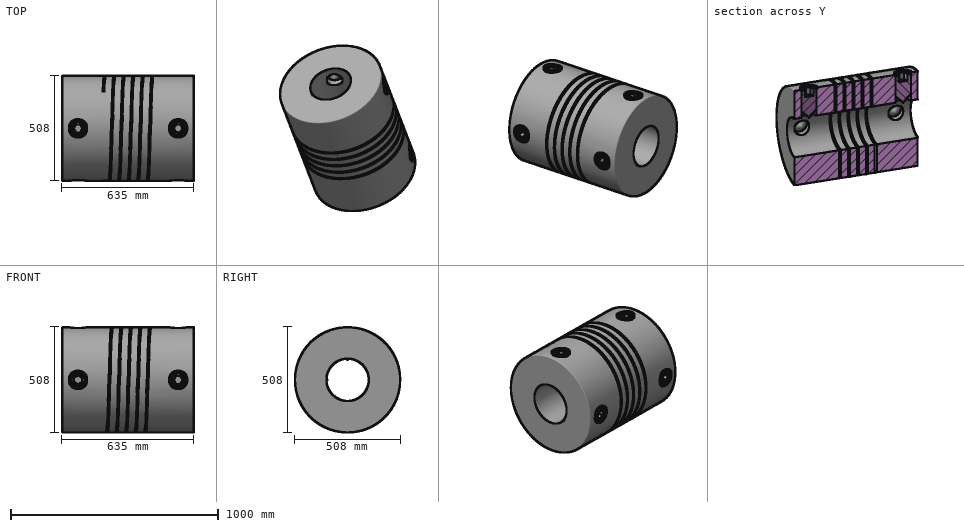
import cadquery as cq
import math


body_length = 635.0
body_diameter = 508.0
bore_diameter = 203.2
edge_fillet = 5.08

body_radius = body_diameter / 2
bore_radius = bore_diameter / 2

slot_width = 8.5
slot_pitch = 46.0
slot_start_x = -118.5
slot_start_angle = 45.0
slot_end_angle = 8.8
slot_whole_turns = 5
slot_overrun = 10.0

slot_turns = slot_whole_turns + (slot_start_angle - slot_end_angle) / 360

screw_diameter = 76.2
screw_end_inset = 76.2
screw_recess = 3.81
screw_chamfer = 7.0
point_protrusion = 5.0
socket_sides = 6
socket_width = 38.1
socket_depth = 38.1
hole_chamfer = 6.35
hole_overrun = 10.0

screw_radius = screw_diameter / 2
screw_tip_height = bore_radius - point_protrusion
screw_head_height = body_radius - screw_recess
screw_x = body_length / 2 - screw_end_inset
socket_corner_diameter = socket_width / math.cos(math.pi / socket_sides)

FACING_UP = 0
FACING_FRONT = 90
screw_places = [
    (-screw_x, FACING_UP, 0),
    (screw_x, FACING_UP, -7),
    (-screw_x, FACING_FRONT, 25),
    (screw_x, FACING_FRONT, 0),
]


def place_screw_shape(shape, x, facing):
    """Move a shape built around +Z to a screw position on the body."""
    return shape.rotate((0, 0, 0), (1, 0, 0), facing).translate((x, 0, 0))


def make_helical_slot():
    """Swept cutter of the slot: a radial strip carried along a helix."""
    inner_radius = bore_radius - slot_overrun
    outer_radius = body_radius + slot_overrun
    helix = cq.Wire.makeHelix(slot_pitch, slot_pitch * slot_turns, body_radius, lefthand=True)
    strip = (
        cq.Workplane("XZ")
        .center((inner_radius + outer_radius) / 2, 0)
        .rect(outer_radius - inner_radius, slot_width)
    )
    cutter = strip.sweep(cq.Workplane(obj=helix), isFrenet=True)
    cutter = cutter.rotate((0, 0, 0), (0, 1, 0), 90)
    cutter = cutter.rotate((0, 0, 0), (1, 0, 0), slot_start_angle + 90)
    return cutter.translate((slot_start_x, 0, 0))


def make_screw_hole():
    """Cutter of one plain screw hole, from the axis of the body out through its top."""
    return cq.Workplane("XY").circle(screw_radius).extrude(body_radius + hole_overrun)


def chamfer_hole_mouths(body):
    """Break the edges where the screw holes come out of the round outside of the body."""
    for x, facing, _ in screw_places:
        outward = cq.Vector(0, 0, 1) if facing == FACING_UP else cq.Vector(0, -1, 0)
        mouth_point = cq.Vector(x, 0, 0) + outward * body_radius
        mouth = cq.selectors.NearestToPointSelector(mouth_point.toTuple())
        body = body.edges(mouth).chamfer(hole_chamfer)
    return body


def make_body():
    body = cq.Workplane("YZ").workplane(offset=-body_length / 2).circle(body_radius).extrude(body_length)
    body = body.edges().fillet(edge_fillet)
    body = body.faces("<X").workplane().hole(bore_diameter)
    body = body.cut(make_helical_slot())
    for x, facing, _ in screw_places:
        body = body.cut(place_screw_shape(make_screw_hole(), x, facing))
    return chamfer_hole_mouths(body)


def make_set_screw(socket_turn):
    """Headless screw with a 90-degree cone point, chamfered at the socket end."""
    screw = (
        cq.Workplane("XZ")
        .moveTo(0, screw_tip_height)
        .lineTo(screw_radius, screw_tip_height + screw_radius)
        .lineTo(screw_radius, screw_head_height - screw_chamfer)
        .lineTo(screw_radius - screw_chamfer, screw_head_height)
        .lineTo(0, screw_head_height)
        .close()
        .revolve(360, (0, 0, 0), (0, 1, 0))
    )
    socket = (
        cq.Workplane("XY")
        .workplane(offset=screw_head_height)
        .polygon(socket_sides, socket_corner_diameter)
        .extrude(-socket_depth)
        .rotate((0, 0, 0), (0, 0, 1), socket_turn)
    )
    return screw.cut(socket)


body = make_body()
set_screws = [
    place_screw_shape(make_set_screw(socket_turn), x, facing)
    for x, facing, socket_turn in screw_places
]

result = cq.Compound.makeCompound([body.val(), *[screw.val() for screw in set_screws]])